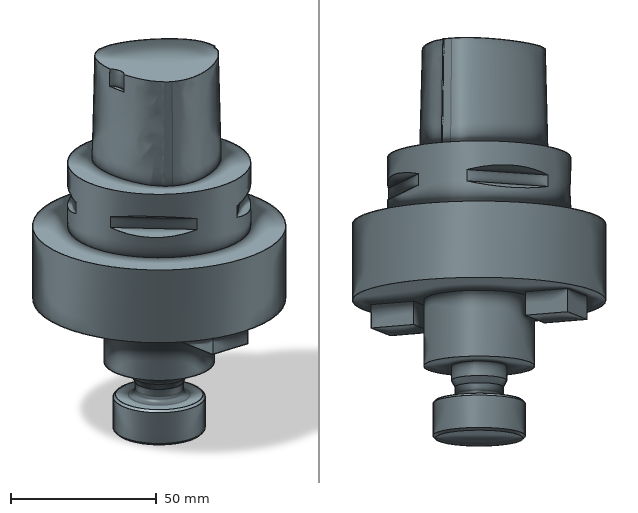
import cadquery as cq
import math

total_height = 136.0
shank_base_z = 98.0
flange_top_z = 74.8
flange_bottom_z = 48.1
pilot_bottom_z = 25.2
bolt_collar_z = 20.1
bolt_neck_top_z = 17.8
bolt_neck_bottom_z = 15.2
bolt_head_top_z = 12.9

collar_diameter = 63.0
flange_diameter = 87.0
pilot_diameter = 38.1
bolt_diameter = 19.0
bolt_neck_diameter = 16.6
bolt_head_diameter = 31.7
bolt_head_chamfer = 0.8

shank_mean_radius = 22.0
lobe_offset = 1.6
lobe_count = 3
steps_per_lobe = 12
shank_taper = 1 / 40

notch_radius = 5.5
notch_floor_y = -17.8
notch_depth = 6.3

groove_floor_distance = 27.7
groove_centre_z = 86.1
groove_floor_height = 4.0
groove_mouth_height = 7.8
groove_count = 4
first_groove_angle = 45.0

key_inner_x = 21.1
key_length = 16.0
key_width = 16.0
key_height = 8.2


def disc(diameter, bottom_z, top_z):
    return cq.Workplane("XY").workplane(offset=bottom_z).circle(diameter / 2).extrude(top_z - bottom_z)


def clamping_bolt():
    """Revolve the bolt, with a waisted neck flaring into a chamfered head."""
    bolt_radius = bolt_diameter / 2
    neck_radius = bolt_neck_diameter / 2
    head_radius = bolt_head_diameter / 2
    flare = bolt_neck_bottom_z - bolt_head_top_z
    flare_middle = flare * (1 - math.sqrt(0.5))
    return (
        cq.Workplane("XZ")
        .moveTo(0, 0)
        .lineTo(head_radius - bolt_head_chamfer, 0)
        .lineTo(head_radius, bolt_head_chamfer)
        .lineTo(head_radius, bolt_head_top_z - bolt_head_chamfer)
        .lineTo(head_radius - bolt_head_chamfer, bolt_head_top_z)
        .lineTo(neck_radius + flare, bolt_head_top_z)
        .threePointArc(
            (neck_radius + flare_middle, bolt_head_top_z + flare_middle),
            (neck_radius, bolt_neck_bottom_z),
        )
        .lineTo(neck_radius, bolt_neck_top_z)
        .lineTo(bolt_radius, bolt_collar_z)
        .lineTo(bolt_radius, pilot_bottom_z)
        .lineTo(0, pilot_bottom_z)
        .close()
        .revolve(360, (0, 0, 0), (0, 1, 0))
    )


def lobed_outline(mean_radius, z):
    """Closed three-lobed curve with one lobe toward +Y, as one smooth edge per third."""

    def point(angle):
        x = -mean_radius * math.sin(angle) + lobe_offset * math.sin(2 * angle)
        y = mean_radius * math.cos(angle) + lobe_offset * math.cos(2 * angle)
        return cq.Vector(x, y, z)

    def direction(angle):
        x = -mean_radius * math.cos(angle) + 2 * lobe_offset * math.cos(2 * angle)
        y = -mean_radius * math.sin(angle) - 2 * lobe_offset * math.sin(2 * angle)
        return cq.Vector(x, y, 0)

    edges = []
    third = 2 * math.pi / lobe_count
    for lobe in range(lobe_count):
        start = lobe * third
        end = start + third
        points = [point(start + step * third / steps_per_lobe) for step in range(steps_per_lobe + 1)]
        edges.append(cq.Edge.makeSpline(points, tangents=[direction(start), direction(end)]))
    return cq.Wire.assembleEdges(edges)


def shank():
    top_radius = shank_mean_radius - shank_taper * (total_height - shank_base_z)
    base_outline = lobed_outline(shank_mean_radius, shank_base_z)
    top_outline = lobed_outline(top_radius, total_height)
    body = cq.Workplane(cq.Solid.makeLoft([base_outline, top_outline], True))
    notch = disc(2 * notch_radius, total_height - notch_depth, total_height)
    return body.cut(notch.translate((0, notch_floor_y - notch_radius, 0)))


def gripper_groove(angle):
    """Straight groove with a flat floor and sloping sides, tangent to the collar."""
    collar_radius = collar_diameter / 2
    half_floor = groove_floor_height / 2
    half_mouth = groove_mouth_height / 2
    return (
        cq.Workplane("XZ")
        .polyline([
            (groove_floor_distance, groove_centre_z - half_floor),
            (collar_radius, groove_centre_z - half_mouth),
            (collar_radius, groove_centre_z + half_mouth),
            (groove_floor_distance, groove_centre_z + half_floor),
        ])
        .close()
        .extrude(collar_radius, both=True)
        .rotate((0, 0, 0), (0, 0, 1), angle)
    )


def drive_key(side):
    centre_x = side * (key_inner_x + key_length / 2)
    return (
        cq.Workplane("XY")
        .workplane(offset=flange_bottom_z - key_height)
        .center(centre_x, 0)
        .rect(key_length, key_width)
        .extrude(key_height)
    )


collar = disc(collar_diameter, flange_top_z, shank_base_z)
for index in range(groove_count):
    collar = collar.cut(gripper_groove(first_groove_angle + index * 360 / groove_count))

flange = disc(flange_diameter, flange_bottom_z, flange_top_z)
pilot = disc(pilot_diameter, pilot_bottom_z, flange_bottom_z)

result = clamping_bolt().union(pilot).union(flange).union(collar).union(shank())
for side in (-1, 1):
    result = result.union(drive_key(side))